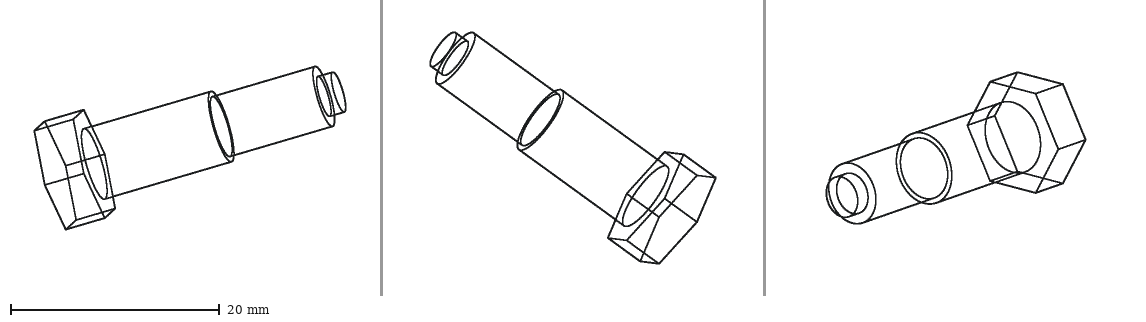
import cadquery as cq
import math

total_length = 29.0

head_across_flats = 10.0
head_length = 4.0
head_across_corners = head_across_flats / math.cos(math.radians(30))

shoulder_diameter = 7.05
shoulder_length = 13.0
shank_diameter = 6.0
tip_diameter = 4.0
tip_length = 1.5
shank_length = total_length - head_length - shoulder_length - tip_length


def section_plane(y):
    """Plane across the bolt axis at the given Y, facing +Y."""
    return cq.Workplane(cq.Plane(origin=(0, y, 0), xDir=(1, 0, 0), normal=(0, 1, 0)))


result = section_plane(0).polygon(6, head_across_corners).extrude(head_length)

step_start = head_length
for diameter, length in (
    (shoulder_diameter, shoulder_length),
    (shank_diameter, shank_length),
    (tip_diameter, tip_length),
):
    step = section_plane(step_start).circle(diameter / 2).extrude(length)
    result = result.union(step)
    step_start += length